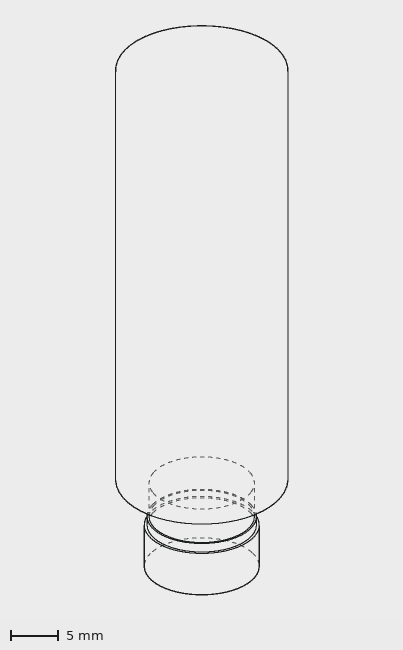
import cadquery as cq

total_length = 60.0
body_diameter = 18.0
edge_fillet = 0.5

plug_diameter = 12.0
plug_length = 5.0
collar_diameter = 11.4
collar_length = 1.0
neck_diameter = 11.0
neck_length = 4.0

plug_top = plug_length
collar_top = plug_top + collar_length
body_bottom = collar_top + neck_length
body_length = total_length - body_bottom


def cylinder(diameter, bottom, length):
    """Upright cylinder on the Z axis, starting at height bottom."""
    return cq.Workplane("XY").workplane(offset=bottom).circle(diameter / 2).extrude(length)


body = cylinder(body_diameter, body_bottom, body_length).edges("%CIRCLE").fillet(edge_fillet)

plug = cylinder(plug_diameter, 0, plug_length)
collar = cylinder(collar_diameter, plug_top, collar_length)
neck = cylinder(neck_diameter, collar_top, neck_length)

result = body.union(neck).union(collar).union(plug)